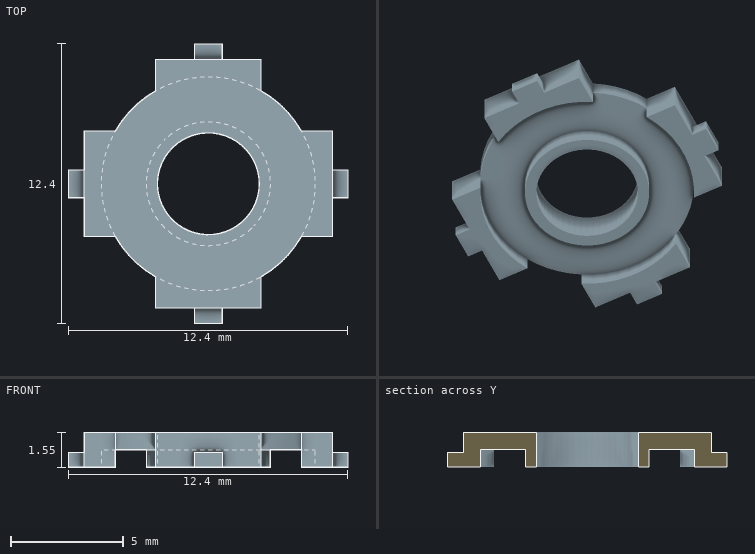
import cadquery as cq

overall_span = 12.4
height = 1.55
arm_span = 11.02
arm_width = 4.69
tab_width = 1.24
tab_height = 0.66
disc_diameter = 9.49
disc_thickness = 0.78
collar_diameter = 5.5
bore_diameter = 4.5

undercut_height = height - disc_thickness


def cross(span, width, depth):
    """Two equal bars crossing at the origin, standing on the base plane."""
    along_x = cq.Workplane("XY").box(span, width, depth, centered=(True, True, False))
    return along_x.union(along_x.rotate((0, 0, 0), (0, 0, 1), 90))


def cylinder(diameter, depth):
    """Upright cylinder standing on the base plane."""
    return cq.Workplane("XY").circle(diameter / 2).extrude(depth)


arms = cross(arm_span, arm_width, height)
tabs = cross(overall_span, tab_width, tab_height)
body = arms.union(tabs)

body = body.cut(cylinder(disc_diameter, undercut_height))

disc = cylinder(disc_diameter, disc_thickness).translate((0, 0, undercut_height))
collar = cylinder(collar_diameter, height)
body = body.union(disc).union(collar)

result = body.cut(cylinder(bore_diameter, height))